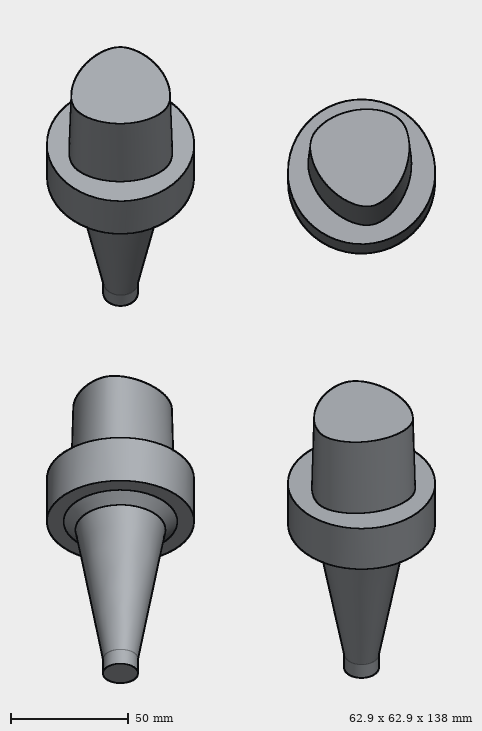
import cadquery as cq
import math

total_height = 138.0
flange_top = 100.0
flange_bottom = 78.0
neck_bottom = 73.7
tip_height = 7.5

flange_diameter = 62.9
neck_top_diameter = 48.6
cone_top_diameter = 38.5
tip_diameter = 15.0

shank_base_radius = 22.1
shank_taper = 1 / 20
lobe_height = 1.4
lobe_count = 3


def turned_body():
    """Tip, cone, conical neck and flange, revolved about Z."""
    flange_radius = flange_diameter / 2
    neck_top_radius = neck_top_diameter / 2
    cone_top_radius = cone_top_diameter / 2
    tip_radius = tip_diameter / 2
    return (
        cq.Workplane("XZ")
        .lineTo(tip_radius, 0)
        .lineTo(tip_radius, tip_height)
        .lineTo(cone_top_radius, neck_bottom)
        .lineTo(neck_top_radius, flange_bottom)
        .lineTo(flange_radius, flange_bottom)
        .lineTo(flange_radius, flange_top)
        .lineTo(0, flange_top)
        .close()
        .revolve(360, (0, 0), (0, 1))
    )


def lobed_wire(mean_radius, z):
    """Closed constant-width curve with one lobe pointing towards -Y."""

    def point(t):
        lobe_angle = 2 * math.pi * t
        reach = mean_radius + lobe_height * math.cos(lobe_count * lobe_angle)
        slope = -lobe_count * lobe_height * math.sin(lobe_count * lobe_angle)
        direction = lobe_angle - math.pi / 2
        x = reach * math.cos(direction) - slope * math.sin(direction)
        y = reach * math.sin(direction) + slope * math.cos(direction)
        return (x, y, z)

    samples = 60
    points = [cq.Vector(*point(i / samples)) for i in range(samples)]
    return cq.Wire.assembleEdges([cq.Edge.makeSpline(points, periodic=True)])


def lobed_shank():
    """Ruled taper from the flange to the flat top."""
    top_radius = shank_base_radius - shank_taper * (total_height - flange_top) / 2
    base = lobed_wire(shank_base_radius, flange_top)
    top = lobed_wire(top_radius, total_height)
    return cq.Workplane(cq.Solid.makeLoft([base, top], True))


result = turned_body().union(lobed_shank())